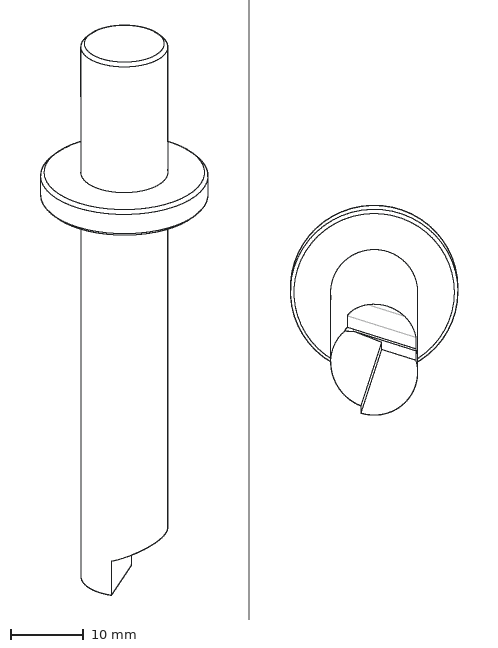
import cadquery as cq

shaft_length = 82.5
shaft_diameter = 12.0
collar_diameter = 23.0
collar_thickness = 4.0
stub_length = 20.0
chamfer = 0.5

step_x = 0.0
step_inner_height = 5.3
step_outer_height = 7.6

flat_y = 3.4
flat_height = 18.65
flat_corner_radius = 2.0

groove_height = 7.6
groove_width = 1.5
groove_depth = 0.4

shaft_radius = shaft_diameter / 2
collar_top = shaft_length - stub_length
collar_bottom = collar_top - collar_thickness


def make_step_cutter():
    """Material removed beside the step face, across the whole shaft."""
    return (
        cq.Workplane("XZ")
        .moveTo(step_x, 0)
        .lineTo(shaft_radius, 0)
        .lineTo(shaft_radius, step_outer_height)
        .lineTo(step_x, step_inner_height)
        .close()
        .extrude(shaft_radius, both=True)
    )


def make_flat_cutter():
    """Material removed beyond the flat, across the whole shaft."""
    return (
        cq.Workplane("YZ")
        .moveTo(flat_y, 0)
        .lineTo(shaft_radius, 0)
        .lineTo(shaft_radius, flat_height)
        .lineTo(flat_y + flat_corner_radius, flat_height)
        .radiusArc((flat_y, flat_height - flat_corner_radius), -flat_corner_radius)
        .close()
        .extrude(shaft_radius, both=True)
    )


def make_groove_cutter():
    """Material removed by the groove, bounded by the flat and an arc."""
    half_width = groove_width / 2
    return (
        cq.Workplane("YZ")
        .moveTo(flat_y, groove_height - half_width)
        .threePointArc(
            (flat_y - groove_depth, groove_height),
            (flat_y, groove_height + half_width),
        )
        .close()
        .extrude(shaft_radius, both=True)
    )


def make_shaft():
    """Round shaft with a chamfered top and a stepped, flatted and grooved lower end."""
    blank = cq.Workplane("XY").circle(shaft_radius).extrude(shaft_length)
    blank = blank.faces(">Z").chamfer(chamfer)
    stepped = blank.cut(make_step_cutter())
    return stepped.cut(make_flat_cutter()).cut(make_groove_cutter())


def make_collar():
    """Ring around the shaft with both outer rims chamfered."""
    disc = (
        cq.Workplane("XY")
        .workplane(offset=collar_bottom)
        .circle(collar_diameter / 2)
        .extrude(collar_thickness)
        .edges()
        .chamfer(chamfer)
    )
    bore = (
        cq.Workplane("XY")
        .workplane(offset=collar_bottom)
        .circle(shaft_radius)
        .extrude(collar_thickness)
    )
    return disc.cut(bore)


shaft = make_shaft()
collar = make_collar()
result = cq.Compound.makeCompound([shaft.val(), collar.val()])